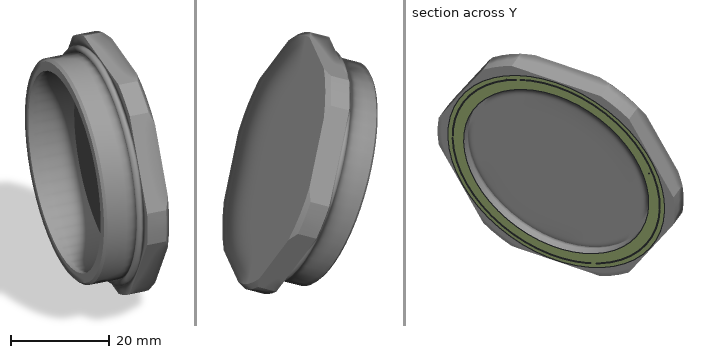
import cadquery as cq
import math

total_length = 13.0
head_thickness = 5.0
across_flats = 50.0
corner_diameter = 53.95
head_chamfer = 0.9

barrel_diameter = 47.05
barrel_chamfer = 0.55
bore_diameter = 42.0
bore_depth = 10.0

seal_section_diameter = 1.5
seal_centre_offset = 0.6
seal_outer_diameter = 49.85

HEX_SIDES = 6
JOINT_OVERLAP = 0.55

barrel_length = total_length - head_thickness
back_face = total_length / 2
head_seat = back_face - head_thickness
open_face = -total_length / 2


def cylinder(diameter, start_y, length):
    """Solid cylinder on the Y axis, running from start_y toward +Y."""
    axis_plane = cq.Plane(origin=(0, start_y, 0), xDir=(0, 0, 1), normal=(0, 1, 0))
    return cq.Workplane(axis_plane).circle(diameter / 2).extrude(length)


def hex_head():
    """Hexagon with rounded corners, chamfered on the back face only."""
    seat_plane = cq.Plane(origin=(0, head_seat, 0), xDir=(1, 0, 0), normal=(0, 1, 0))
    across_corners = across_flats / math.cos(math.pi / HEX_SIDES)
    hexagon = cq.Workplane(seat_plane).polygon(HEX_SIDES, across_corners).extrude(head_thickness)
    turned_blank = (
        cylinder(corner_diameter, head_seat, head_thickness)
        .faces(">Y").edges()
        .chamfer(head_chamfer)
    )
    return hexagon.intersect(turned_blank)


def barrel():
    """Round spigot with a chamfered open end."""
    spigot = cylinder(barrel_diameter, open_face, barrel_length + JOINT_OVERLAP)
    return spigot.faces("<Y").edges().chamfer(barrel_chamfer)


def seal_ring():
    """O-ring against the head, sunk slightly into both the head and the barrel."""
    section_radius = seal_section_diameter / 2
    ring_radius = seal_outer_diameter / 2 - section_radius
    section_y = head_seat - seal_centre_offset
    return (
        cq.Workplane("YZ")
        .moveTo(section_y, ring_radius)
        .circle(section_radius)
        .revolve(360, (0, 0, 0), (1, 0, 0))
    )


bore = cylinder(bore_diameter, open_face, bore_depth)
result = hex_head().union(barrel()).union(seal_ring()).cut(bore)